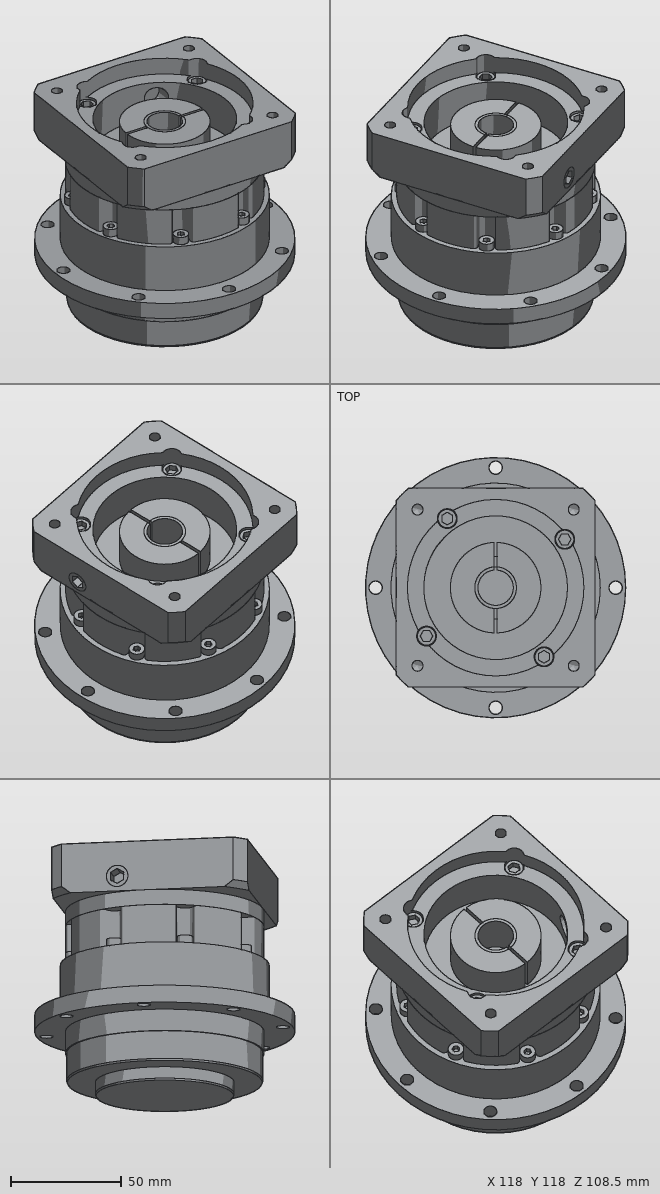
import cadquery as cq
import math

BOSS_TOP_Z = 6.1
PILOT_STEP_Z = 19.8
FLANGE_BOTTOM_Z = 29.7
FLANGE_TOP_Z = 37.6
RING_TOP_Z = 60.5
DISC_BOTTOM_Z = 78.6
PLATE_BOTTOM_Z = 85.5
TOP_Z = 108.5
SEAT_Z = TOP_Z - 8.3
CAVITY_FLOOR_Z = 81.1
HUB_TOP_Z = TOP_Z - 9.7

BOSS_R = 31.5
LOWER_PILOT_R = 44.5
PILOT_R = 45.1
FLANGE_R = 59.0
RING_R = 47.4
GROOVED_R = 45.0
EDGE_CHAMFER_HEIGHT = 0.8
EDGE_CHAMFER_WIDTH = 0.4

FLANGE_HOLE_COUNT = 8
FLANGE_HOLE_CIRCLE_R = 54.4
FLANGE_HOLE_R = 3.0

GROOVE_COUNT = 8
GROOVE_CIRCLE_R = 42.5
GROOVE_R = 4.0
GROOVE_LENGTH = 4 * GROOVE_R
GROOVE_FILLET = 1.9
GROOVE_SCREW_R = 3.5
GROOVE_SCREW_HEIGHT = 3.8
GROOVE_SCREW_HEX = 3.0
GROOVE_SCREW_HEX_DEPTH = 2.4

PLATE_SIDE = 90.2
PLATE_CORNER_R = 60.0
PLATE_CHAMFER_HEIGHT = 3.1
PLATE_CHAMFER_WIDTH = 2.6
MOTOR_HOLE_COUNT = 4
MOTOR_HOLE_OFFSET = 35.4
MOTOR_HOLE_R = 2.5
MOTOR_HOLE_DEPTH = 17.7
DRILL_TIP_ANGLE = 118
SEAT_R = 40.0
CAVITY_R = 32.6

SEAT_SCREW_COUNT = 4
SEAT_SCREW_FIRST_ANGLE = 35.0
SEAT_SCREW_CIRCLE_R = 38.2
SEAT_POCKET_R = 4.5
SEAT_POCKET_FILLET = 1.1
SEAT_POCKET_DEPTH = 4.7
SEAT_SCREW_R = 4.1
SEAT_SCREW_SINK = 1.0
SEAT_SCREW_HEX = 5.0
SEAT_SCREW_HEX_DEPTH = 3.0

PLUG_Y = 13.9
PLUG_Z = 92.5
PLUG_R = 5.0
PLUG_LENGTH = 10.6
PLUG_HEX = 6.0
PLUG_HEX_DEPTH = 8.3

HUB_R = 20.5
HUB_NECK_R = 14.2
NECK_BOTTOM_Z = CAVITY_FLOOR_Z - 5.9
HUB_BORE_R = 9.4
BORE_BOTTOM_Z = HUB_TOP_Z - 20.1
HUB_SLOT_WIDTH = 1.3
BUSHING_BORE_R = 8.0

EDGE_MATCH_TOLERANCE = 0.01


def cylinder(radius, bottom_z, top_z, x=0.0):
    return cq.Workplane("XY", origin=(x, 0, bottom_z)).circle(radius).extrude(top_z - bottom_z)


def across_corners(across_flats):
    """Corner-to-corner size of a hexagon."""
    return across_flats / math.cos(math.pi / 6)


def hexagon(across_flats, bottom_z, top_z, x=0.0):
    """Hexagonal prism with two corners along the X direction."""
    base = cq.Workplane("XY", origin=(x, 0, bottom_z)).polygon(6, across_corners(across_flats))
    return base.extrude(top_z - bottom_z)


def around_axis(shape, count, first_angle):
    """Union of equally spaced copies of a shape turned about Z."""
    copies = shape.rotate((0, 0, 0), (0, 0, 1), first_angle)
    for index in range(1, count):
        angle = first_angle + index * 360 / count
        copies = copies.union(shape.rotate((0, 0, 0), (0, 0, 1), angle))
    return copies


def fillet_upright_edges(shape, distance, fillet_radius):
    """Fillet the edges parallel to Z that lie at the given distance from the Z axis.

    Edges at Y = 0 are skipped, as they are only the seams of round faces.
    """
    corner_edges = [
        edge
        for edge in shape.edges("|Z").vals()
        if abs(math.hypot(edge.Center().x, edge.Center().y) - distance) < EDGE_MATCH_TOLERANCE
        and abs(edge.Center().y) > EDGE_MATCH_TOLERANCE
    ]
    return shape.newObject(corner_edges).fillet(fillet_radius)


def turned_base():
    """Output boss, pilots, round flange and ring below the grooved section."""
    profile = [
        (0, 0),
        (BOSS_R - EDGE_CHAMFER_WIDTH, 0),
        (BOSS_R, EDGE_CHAMFER_HEIGHT),
        (BOSS_R, BOSS_TOP_Z),
        (LOWER_PILOT_R - EDGE_CHAMFER_WIDTH, BOSS_TOP_Z),
        (LOWER_PILOT_R, BOSS_TOP_Z + EDGE_CHAMFER_HEIGHT),
        (LOWER_PILOT_R, PILOT_STEP_Z),
        (PILOT_R, PILOT_STEP_Z),
        (PILOT_R, FLANGE_BOTTOM_Z),
        (FLANGE_R, FLANGE_BOTTOM_Z),
        (FLANGE_R, FLANGE_TOP_Z),
        (RING_R, FLANGE_TOP_Z),
        (RING_R, RING_TOP_Z),
        (0, RING_TOP_Z),
    ]
    base = cq.Workplane("XZ").polyline(profile).close().revolve(360, (0, 0, 0), (0, 1, 0))
    hole = cylinder(FLANGE_HOLE_R, FLANGE_BOTTOM_Z, FLANGE_TOP_Z, x=FLANGE_HOLE_CIRCLE_R)
    return base.cut(around_axis(hole, FLANGE_HOLE_COUNT, 0))


def grooved_section():
    """Cylinder with round-bottomed grooves whose mouths are rounded."""
    height = DISC_BOTTOM_Z - RING_TOP_Z
    groove_middle = GROOVE_CIRCLE_R - GROOVE_R + GROOVE_LENGTH / 2
    groove = (
        cq.Workplane("XY", origin=(groove_middle, 0, RING_TOP_Z))
        .slot2D(GROOVE_LENGTH, 2 * GROOVE_R)
        .extrude(height)
    )
    grooves = around_axis(groove, GROOVE_COUNT, 180 / GROOVE_COUNT)
    section = cylinder(GROOVED_R, RING_TOP_Z, DISC_BOTTOM_Z).cut(grooves)
    return fillet_upright_edges(section, GROOVED_R, GROOVE_FILLET)


def groove_screws():
    """Socket heads standing in the grooves on top of the ring."""
    top_z = RING_TOP_Z + GROOVE_SCREW_HEIGHT
    head = cylinder(GROOVE_SCREW_R, RING_TOP_Z, top_z, x=GROOVE_CIRCLE_R)
    socket = hexagon(GROOVE_SCREW_HEX, top_z - GROOVE_SCREW_HEX_DEPTH, top_z, x=GROOVE_CIRCLE_R)
    return around_axis(head.cut(socket), GROOVE_COUNT, 180 / GROOVE_COUNT)


def motor_plate():
    """Square plate with turned corners and a coned underside, on a round disc."""
    plate = (
        cq.Workplane("XY", origin=(0, 0, PLATE_BOTTOM_Z))
        .rect(PLATE_SIDE, PLATE_SIDE)
        .extrude(TOP_Z - PLATE_BOTTOM_Z)
    )
    turned = (
        cylinder(PLATE_CORNER_R, PLATE_BOTTOM_Z, TOP_Z)
        .faces("<Z")
        .chamfer(PLATE_CHAMFER_HEIGHT, PLATE_CHAMFER_WIDTH)
    )
    return plate.intersect(turned).union(cylinder(PILOT_R, DISC_BOTTOM_Z, PLATE_BOTTOM_Z))


def motor_holes():
    """Blind holes with drill-point bottoms near the plate corners."""
    tip_height = MOTOR_HOLE_R / math.tan(math.radians(DRILL_TIP_ANGLE / 2))
    bottom_z = TOP_Z - MOTOR_HOLE_DEPTH
    profile = [(0, TOP_Z), (MOTOR_HOLE_R, TOP_Z), (MOTOR_HOLE_R, bottom_z), (0, bottom_z - tip_height)]
    hole = cq.Workplane("XZ").polyline(profile).close().revolve(360, (0, 0, 0), (0, 1, 0))
    corner_hole = hole.translate((MOTOR_HOLE_OFFSET, MOTOR_HOLE_OFFSET, 0))
    return around_axis(corner_hole, MOTOR_HOLE_COUNT, 0)


def seat_recess():
    """Round recess down to the seat, with filleted lobes around the seat screws."""
    lobe = cylinder(SEAT_POCKET_R, SEAT_Z, TOP_Z, x=SEAT_SCREW_CIRCLE_R)
    lobes = around_axis(lobe, SEAT_SCREW_COUNT, SEAT_SCREW_FIRST_ANGLE)
    recess = cylinder(SEAT_R, SEAT_Z, TOP_Z).union(lobes)
    return fillet_upright_edges(recess, SEAT_R, SEAT_POCKET_FILLET)


def seat_pockets():
    """Counterbores below the seat."""
    pocket = cylinder(SEAT_POCKET_R, SEAT_Z - SEAT_POCKET_DEPTH, SEAT_Z, x=SEAT_SCREW_CIRCLE_R)
    return around_axis(pocket, SEAT_SCREW_COUNT, SEAT_SCREW_FIRST_ANGLE)


def seat_screws():
    """Socket heads sunk a little below the seat, with a narrow gap around each."""
    top_z = SEAT_Z - SEAT_SCREW_SINK
    head = cylinder(SEAT_SCREW_R, SEAT_Z - SEAT_POCKET_DEPTH, top_z, x=SEAT_SCREW_CIRCLE_R)
    socket = hexagon(SEAT_SCREW_HEX, top_z - SEAT_SCREW_HEX_DEPTH, top_z).rotate(
        (0, 0, 0), (0, 0, 1), -SEAT_SCREW_FIRST_ANGLE
    )
    screw = head.cut(socket.translate((SEAT_SCREW_CIRCLE_R, 0, 0)))
    return around_axis(screw, SEAT_SCREW_COUNT, SEAT_SCREW_FIRST_ANGLE)


def plug_workplane():
    """Plane on the -X side of the motor plate, facing into the plate."""
    return cq.Workplane(
        cq.Plane(origin=(-PLATE_SIDE / 2, PLUG_Y, PLUG_Z), xDir=(0, 0, 1), normal=(1, 0, 0))
    )


def make_housing():
    """Gear housing with motor plate and screw heads, open for the hub and the plug."""
    housing = turned_base().union(grooved_section()).union(groove_screws()).union(motor_plate())
    housing = housing.cut(motor_holes())
    housing = housing.cut(cylinder(CAVITY_R, CAVITY_FLOOR_Z, TOP_Z))
    housing = housing.cut(seat_recess()).cut(seat_pockets()).union(seat_screws())
    housing = housing.cut(cylinder(HUB_NECK_R, NECK_BOTTOM_Z, CAVITY_FLOOR_Z))
    plug_hole = plug_workplane().circle(PLUG_R).extrude(PLATE_SIDE / 2 - HUB_R)
    return housing.cut(plug_hole)


def slot_block(start_y, end_y, bottom_z):
    """Block one slot wide, centred on X = 0, reaching up to the hub top."""
    middle_y = (start_y + end_y) / 2
    block = cq.Workplane("XY", origin=(0, middle_y, bottom_z)).rect(HUB_SLOT_WIDTH, end_y - start_y)
    return block.extrude(HUB_TOP_Z - bottom_z)


def make_hub():
    """Slotted clamping head on a plain neck that sits in the housing."""
    hub = cylinder(HUB_R, CAVITY_FLOOR_Z, HUB_TOP_Z)
    hub = hub.union(cylinder(HUB_NECK_R, NECK_BOTTOM_Z, CAVITY_FLOOR_Z))
    hub = hub.cut(cylinder(HUB_BORE_R, BORE_BOTTOM_Z, HUB_TOP_Z))
    return hub.cut(slot_block(-HUB_R, HUB_R, CAVITY_FLOOR_Z))


def make_bushing():
    """Sleeve in the hub bore, slit along its +Y side."""
    sleeve = cylinder(HUB_BORE_R, BORE_BOTTOM_Z, HUB_TOP_Z)
    sleeve = sleeve.cut(cylinder(BUSHING_BORE_R, BORE_BOTTOM_Z, HUB_TOP_Z))
    return sleeve.cut(slot_block(0, HUB_BORE_R, BORE_BOTTOM_Z))


def make_plug():
    """Round plug flush with the plate side, with a hexagonal socket."""
    body = plug_workplane().circle(PLUG_R).extrude(PLUG_LENGTH)
    socket = plug_workplane().polygon(6, across_corners(PLUG_HEX)).extrude(PLUG_HEX_DEPTH)
    return body.cut(socket)


housing = make_housing()
hub = make_hub()
bushing = make_bushing()
plug = make_plug()
bodies = [housing, hub, bushing, plug]
result = cq.Compound.makeCompound([body.solids().val() for body in bodies])